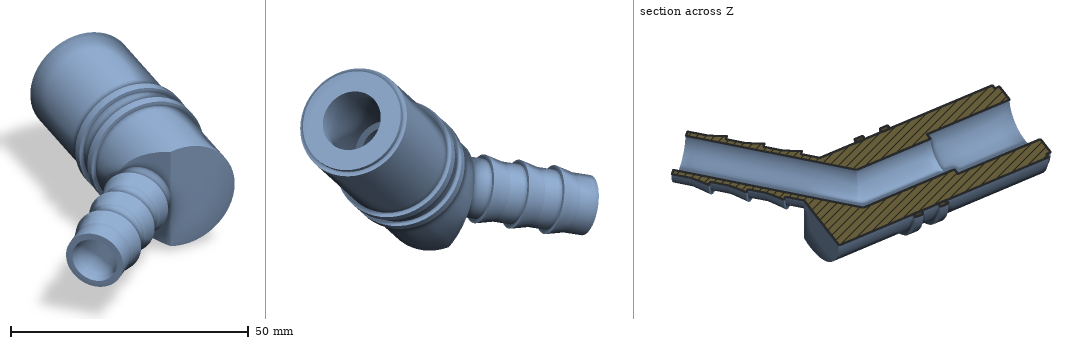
import cadquery as cq
import math

total_length = 72.55
bend_angle = 45.0

barrel_diameter = 23.95
lip_diameter = 21.9
lip_length = 1.1

ring_diameter = 26.0
ring_width = 2.0
ring_start_x = 26.0
ring_pitch = 6.1
ring_count = 2

spigot_diameter = 12.85
spigot_length = 28.95

barb_diameter = 14.7
barb_pitch = 8.2
barb_length = barb_pitch / 2
barb_count = 3

passage_diameter = 10.0
socket_diameter = 13.0

bend_radians = math.radians(bend_angle)

base_drop = barrel_diameter / 2 - spigot_diameter / 2 * math.cos(bend_radians)
spigot_base = base_drop / math.sin(bend_radians)
spigot_tip = spigot_base + spigot_length

tip_reach = spigot_tip * math.cos(bend_radians) + spigot_diameter / 2 * math.sin(bend_radians)
bend_x = total_length - tip_reach
socket_depth = bend_x / 2

base_reach = spigot_base * math.cos(bend_radians) + spigot_diameter / 2 * math.sin(bend_radians)
barrel_end_x = bend_x + base_reach

spigot_direction = cq.Vector(math.cos(bend_radians), -math.sin(bend_radians), 0)
bend_point = cq.Vector(bend_x, 0, 0)


def barrel_plane(x):
    """Plane across the barrel axis at the given x, facing +X."""
    return cq.Workplane(cq.Plane(origin=(x, 0, 0), xDir=(0, 1, 0), normal=(1, 0, 0)))


def spigot_plane(distance):
    """Plane across the spigot axis at the given distance from the bend, facing the tip."""
    origin = bend_point + spigot_direction * distance
    return cq.Workplane(cq.Plane(origin=origin, xDir=(0, 0, 1), normal=spigot_direction))


def make_barrel():
    """Stepped cylinder whose far end is sliced by the plane at the spigot base."""
    lip = barrel_plane(0).circle(lip_diameter / 2).extrude(lip_length)
    body = barrel_plane(lip_length).circle(barrel_diameter / 2).extrude(barrel_end_x - lip_length)
    beyond_base = spigot_plane(spigot_base).rect(total_length, total_length).extrude(total_length)
    return lip.union(body.cut(beyond_base))


def make_barb(distance):
    """Tapered barb starting with a sharp shoulder and narrowing to the spigot diameter."""
    return (
        spigot_plane(distance)
        .circle(barb_diameter / 2)
        .workplane(offset=barb_length)
        .circle(spigot_diameter / 2)
        .loft()
    )


def make_spigot():
    """Tube blank with barbs, rooted at the bend point inside the barrel."""
    spigot = spigot_plane(0).circle(spigot_diameter / 2).extrude(spigot_tip)
    for index in range(barb_count):
        spigot = spigot.union(make_barb(spigot_base + barb_length + index * barb_pitch))
    return spigot


def make_passage():
    """Mitred bore that follows the bend, with a wider socket at the barrel mouth."""
    tip_point = bend_point + spigot_direction * spigot_tip
    path = cq.Workplane("XY").polyline([(0, 0), (bend_x, 0), (tip_point.x, tip_point.y)])
    bore = barrel_plane(0).circle(passage_diameter / 2).sweep(path, transition="right")
    socket = barrel_plane(0).circle(socket_diameter / 2).extrude(socket_depth)
    return bore.union(socket)


def make_fitting():
    """One-piece elbow: barrel and hose spigot with the passage through both."""
    return make_barrel().union(make_spigot()).cut(make_passage())


def make_ring(x):
    """Flat sealing ring seated on the barrel, starting at the given x."""
    return (
        barrel_plane(x)
        .circle(ring_diameter / 2)
        .circle(barrel_diameter / 2)
        .extrude(ring_width)
    )


fitting = make_fitting()
rings = [make_ring(ring_start_x + index * ring_pitch) for index in range(ring_count)]

result = cq.Compound.makeCompound([fitting.solids().val(), *[ring.val() for ring in rings]])